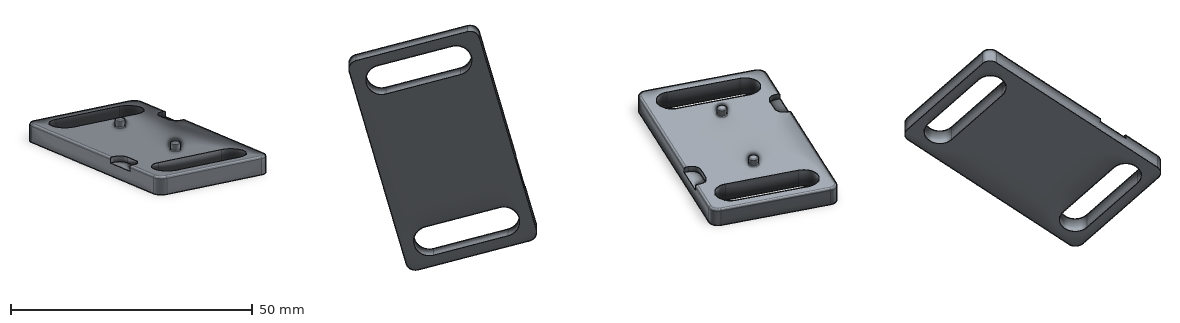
import cadquery as cq

length = 48.0
width = 28.0
thickness = 4.0
corner_radius = 2.0
edge_round = 0.5

slot_length = 22.5
slot_width = 6.5
slot_offset = 18.5

total_height = 5.7
pin_offset = 10.0
pin_diameter = 2.0
tip_round = 0.25
base_blend = 0.2

notch_length = 7.0
notch_reach = 3.0
notch_depth = 1.25
notch_radius = 2.0

def make_plate():
    plate = cq.Workplane("XY").box(length, width, thickness, centered=(True, True, False))
    plate = plate.edges("|Z").fillet(corner_radius)
    return plate.faces(">Z").edges().fillet(edge_round)


def make_slots():
    return (
        cq.Workplane("XY")
        .pushPoints([(-slot_offset, 0), (slot_offset, 0)])
        .slot2D(slot_length, slot_width, 90)
        .extrude(thickness)
    )


def make_notch(x, side):
    """Cutter for a round-cornered notch centred on the long edge at side = +1 or -1."""
    return (
        cq.Workplane("XY", origin=(x, side * width / 2, thickness - notch_depth))
        .rect(notch_length, 2 * notch_reach)
        .extrude(notch_depth)
        .edges("|Z")
        .fillet(notch_radius)
    )


def make_pin(x):
    """Turned pin: half profile revolved about the pin axis, from plate top to tip."""
    radius = pin_diameter / 2
    pin_height = total_height - thickness
    return (
        cq.Workplane("XZ", origin=(x, 0, thickness))
        .lineTo(radius + base_blend, 0)
        .radiusArc((radius, base_blend), base_blend)
        .lineTo(radius, pin_height - tip_round)
        .radiusArc((radius - tip_round, pin_height), -tip_round)
        .lineTo(0, pin_height)
        .close()
        .revolve(360, (0, 0), (0, 1))
    )


result = make_plate().cut(make_slots())
result = result.cut(make_notch(pin_offset, -1)).cut(make_notch(-pin_offset, 1))
result = result.union(make_pin(-pin_offset)).union(make_pin(pin_offset))